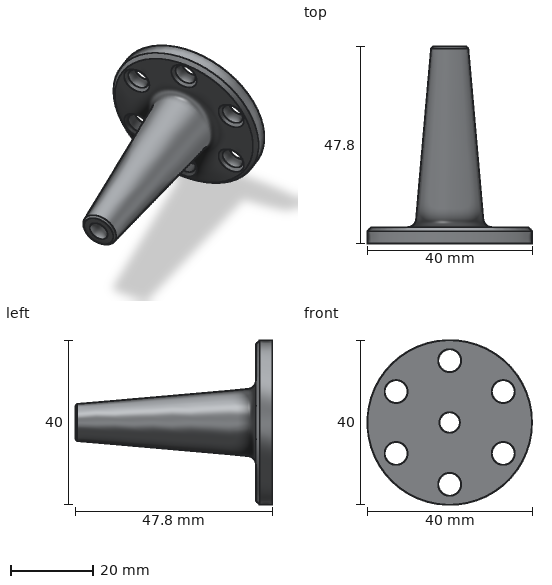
import cadquery as cq

flange_diameter = 40.0
flange_thickness = 4.0
flange_chamfer = 1.0

overall_length = 47.77
stem_base_diameter = 16.7
stem_tip_diameter = 9.0
stem_root_fillet = 2.0
stem_tip_chamfer = 0.5

bore_diameter = 4.9
bolt_hole_diameter = 5.5
bolt_hole_chamfer = 0.75
bolt_hole_chamfer_angle = 45.0
bolt_circle_diameter = 30.0
bolt_hole_count = 6
first_bolt_angle = 90.0

front_face = cq.Workplane("XZ").workplane(invert=True)


def make_flange():
    """Disc with its front face at Y = 0 and a chamfered rear rim."""
    disc = front_face.circle(flange_diameter / 2).extrude(flange_thickness)
    return disc.faces(">Y").edges().chamfer(flange_chamfer)


def make_stem():
    """Cone frustum from the flange's rear face to the free end."""
    outline = [
        (0, flange_thickness),
        (stem_base_diameter / 2, flange_thickness),
        (stem_tip_diameter / 2, overall_length),
        (0, overall_length),
    ]
    return cq.Workplane("XY").polyline(outline).close().revolve(360, (0, 0), (0, 1))


def blend_stem(body):
    """Fillet the stem root and break the edge of the stem tip."""
    rear_face = cq.selectors.NearestToPointSelector((0, flange_thickness, 0))
    smallest_circle = cq.selectors.RadiusNthSelector(0)
    body = body.faces(rear_face).edges(smallest_circle).fillet(stem_root_fillet)
    return body.faces(">Y").edges().chamfer(stem_tip_chamfer)


def bolt_hole_centers(plane):
    """The bolt circle's points, laid out on the given plane."""
    return plane.polarArray(bolt_circle_diameter / 2, first_bolt_angle, 360, bolt_hole_count)


def make_bolt_holes():
    """Ring of holes through the flange, chamfered where they leave its rear face."""
    shanks = bolt_hole_centers(front_face).circle(bolt_hole_diameter / 2).extrude(flange_thickness)
    mouth_radius = bolt_hole_diameter / 2 + bolt_hole_chamfer
    rear_face = front_face.workplane(offset=flange_thickness)
    mouth_circles = bolt_hole_centers(rear_face).circle(mouth_radius)
    mouths = mouth_circles.extrude(-bolt_hole_chamfer, taper=bolt_hole_chamfer_angle)
    return shanks.union(mouths)


def make_bore():
    """Central hole running right through the flange and stem."""
    return front_face.circle(bore_diameter / 2).extrude(overall_length)


body = make_flange().union(make_stem())
body = blend_stem(body)
result = body.cut(make_bore()).cut(make_bolt_holes())